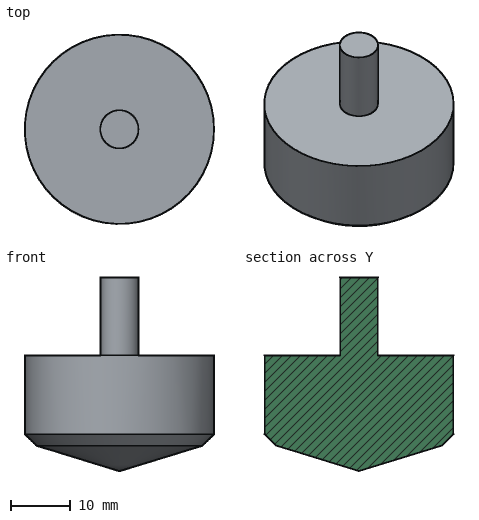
import cadquery as cq

total_height = 32.5
body_diameter = 31.75
pin_diameter = 6.4
pin_length = 13.05
cone_height = 4.25
bevel_height = 1.95
bevel_width = 2.0

body_bottom = cone_height + bevel_height
body_top = total_height - pin_length
body_radius = body_diameter / 2
pin_radius = pin_diameter / 2
cone_radius = body_radius - bevel_width

half_profile = (
    cq.Workplane("XZ")
    .moveTo(0, 0)
    .lineTo(cone_radius, cone_height)
    .lineTo(body_radius, body_bottom)
    .lineTo(body_radius, body_top)
    .lineTo(pin_radius, body_top)
    .lineTo(pin_radius, total_height)
    .lineTo(0, total_height)
    .close()
)

result = half_profile.revolve(360, (0, 0, 0), (0, 1, 0))